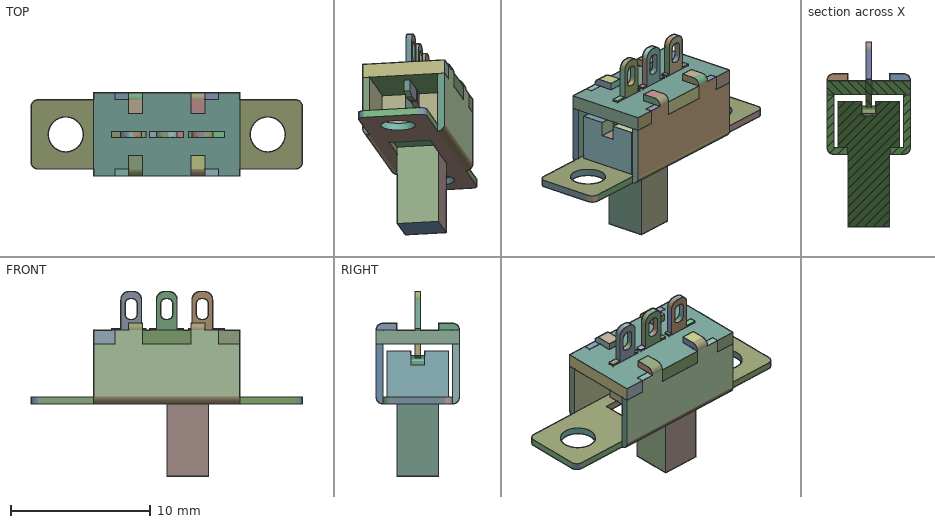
import cadquery as cq
import math

SHEET = 0.5
EAR_SPAN = 19.5
EAR_WIDTH = 5.0
EAR_CORNER_RADIUS = 0.5
MOUNT_HOLE_DIAMETER = 2.5
MOUNT_HOLE_PITCH = 14.5
BODY_LENGTH = 10.5
BODY_WIDTH = 6.0
INNER_WIDTH = BODY_WIDTH - 2 * SHEET

TAB_WIDTH = 1.99
TAB_INNER_EDGE = 1.74
HOOK_WIDTH = TAB_WIDTH / 2
HOOK_REACH = 1.5

COVER_TOP = 5.3
COVER_THICKNESS = 1.0
COVER_BOTTOM = COVER_TOP - COVER_THICKNESS

KNOB_SIDE = 3.0
KNOB_BOTTOM = -5.2
TRAVEL = KNOB_SIDE
SLIDER_X = TRAVEL / 2
SLIDER_LENGTH = 7.0
SLIDER_WIDTH = 4.43
SLIDER_TOP = 3.82
GROOVE_WIDTH = 1.0
GROOVE_DEPTH = 1.03
GROOVE_FLOOR = SLIDER_TOP - GROOVE_DEPTH

LUG_THICKNESS = 0.43
LUG_PITCH = 2.55
LUG_WIDTH = 1.5
LUG_TOP = 8.1
LUG_CORNER_RADIUS = 0.6
EYE_WIDTH = 0.84
EYE_HEIGHT = 1.48
EYE_CORNER_RADIUS = 0.35
EYE_TO_TOP = 0.53
SHOULDER_RISE = 0.12
SHOULDER_TOP = COVER_TOP + SHOULDER_RISE
BLADE_CORNER_Z = 3.5
BLADE_TIP_Z = 3.3
TILT = math.radians(15)
BLADE_SIDES = [(-3.98, -1.5), (-1.23, 1.2), (1.56, 4.13)]

RIB_X = (BLADE_SIDES[1][1] + BLADE_SIDES[2][0]) / 2
RIB_TOP = BLADE_CORNER_Z
RIB_TOP_WIDTH = 0.31
RIB_FOOT_Z = 3.1
RIB_FOOT_RADIUS = 0.15
FOOT_SEARCH = 0.02


def block(x_range, y_range, z_range):
    """Box given by its limits along each axis."""
    (x0, x1), (y0, y1), (z0, z1) = x_range, y_range, z_range
    return cq.Workplane("XY").box(x1 - x0, y1 - y0, z1 - z0, centered=False).translate((x0, y0, z0))


def centered(size):
    return (-size / 2, size / 2)


def make_tab(side):
    """Tab at the -Y wall; side is -1 or +1 for the -X or +X one."""
    near = side * TAB_INNER_EDGE
    wall_y = -BODY_WIDTH / 2
    tab_x = sorted((near, near + side * TAB_WIDTH))
    hook_x = sorted((near, near + side * HOOK_WIDTH))
    upright = block(tab_x, (wall_y, wall_y + SHEET), (COVER_BOTTOM, COVER_TOP))
    hook = (
        cq.Workplane("YZ")
        .moveTo(wall_y, COVER_TOP)
        .lineTo(wall_y + HOOK_REACH, COVER_TOP)
        .lineTo(wall_y + HOOK_REACH, COVER_TOP + SHEET)
        .lineTo(wall_y + SHEET, COVER_TOP + SHEET)
        .radiusArc((wall_y, COVER_TOP), -SHEET)
        .close()
        .extrude(HOOK_WIDTH)
        .translate((hook_x[0], 0, 0))
    )
    return upright.union(hook)


def make_tabs():
    tabs = make_tab(-1).union(make_tab(1))
    return tabs.union(tabs.mirror("XZ"))


def make_housing():
    floor = (
        cq.Workplane("XY")
        .rect(EAR_SPAN, EAR_WIDTH)
        .extrude(SHEET)
        .edges("|Z")
        .fillet(EAR_CORNER_RADIUS)
        .faces(">Z")
        .workplane()
        .pushPoints([(x, 0) for x in centered(MOUNT_HOLE_PITCH)])
        .hole(MOUNT_HOLE_DIAMETER)
    )
    channel = (
        cq.Workplane("XY")
        .box(BODY_LENGTH, BODY_WIDTH, COVER_BOTTOM, centered=(True, True, False))
        .edges("|X and <Z")
        .fillet(SHEET)
        .cut(block(centered(BODY_LENGTH), centered(INNER_WIDTH), (SHEET, COVER_BOTTOM)))
    )
    knob_slot = block(centered(KNOB_SIDE + TRAVEL), centered(KNOB_SIDE), (0, SHEET))
    return floor.union(channel).cut(knob_slot).union(make_tabs())


def make_slider():
    x_range = (SLIDER_X - SLIDER_LENGTH / 2, SLIDER_X + SLIDER_LENGTH / 2)
    knob_x = (SLIDER_X - KNOB_SIDE / 2, SLIDER_X + KNOB_SIDE / 2)
    body = block(x_range, centered(SLIDER_WIDTH), (SHEET, SLIDER_TOP))
    knob = block(knob_x, centered(KNOB_SIDE), (KNOB_BOTTOM, SHEET))
    groove = block(x_range, centered(GROOVE_WIDTH), (GROOVE_FLOOR, SLIDER_TOP))
    return body.union(knob).cut(groove)


def make_terminal(lug_x, blade_left, blade_right):
    tip_run = (BLADE_CORNER_Z - BLADE_TIP_Z) / math.tan(TILT)
    blade = (
        cq.Workplane("XZ")
        .polyline([
            (blade_left, SHOULDER_TOP),
            (blade_left, BLADE_CORNER_Z),
            (blade_left + tip_run, BLADE_TIP_Z),
            (blade_right - tip_run, BLADE_TIP_Z),
            (blade_right, BLADE_CORNER_Z),
            (blade_right, SHOULDER_TOP),
        ])
        .close()
        .extrude(LUG_THICKNESS / 2, both=True)
    )
    lug = (
        block(centered(LUG_WIDTH), centered(LUG_THICKNESS), (COVER_BOTTOM, LUG_TOP))
        .edges("|Y and >Z")
        .fillet(LUG_CORNER_RADIUS)
    )
    eye_top = LUG_TOP - EYE_TO_TOP
    eye = (
        block(centered(EYE_WIDTH), centered(LUG_THICKNESS), (eye_top - EYE_HEIGHT, eye_top))
        .edges("|Y")
        .fillet(EYE_CORNER_RADIUS)
    )
    return blade.union(lug.cut(eye).translate((lug_x, 0, 0)))


def make_cover(housing, terminals):
    """Plate notched around the housing's tabs and slotted for the terminals."""
    cover = block(centered(BODY_LENGTH), centered(BODY_WIDTH), (COVER_BOTTOM, COVER_TOP)).cut(housing)
    for terminal in terminals:
        cover = cover.cut(terminal)
    return cover


def make_contact():
    """Two ramps that rise from the groove floor to a rib with undercut sides."""
    foot_half = RIB_TOP_WIDTH / 2 - (RIB_TOP - RIB_FOOT_Z) * math.tan(TILT)
    ramp_half = foot_half + (RIB_FOOT_Z - GROOVE_FLOOR) / math.tan(TILT)
    right_half = [
        (RIB_TOP_WIDTH / 2, RIB_TOP),
        (foot_half, RIB_FOOT_Z),
        (ramp_half, GROOVE_FLOOR),
    ]
    left_half = [(-x, z) for x, z in reversed(right_half)]
    foot_edges = cq.selectors.BoxSelector(
        (-2 * foot_half, -GROOVE_WIDTH, RIB_FOOT_Z - FOOT_SEARCH),
        (2 * foot_half, GROOVE_WIDTH, RIB_FOOT_Z + FOOT_SEARCH),
    )
    return (
        cq.Workplane("XZ")
        .polyline(right_half + left_half)
        .close()
        .extrude(GROOVE_WIDTH / 2, both=True)
        .edges(foot_edges)
        .fillet(RIB_FOOT_RADIUS)
        .translate((RIB_X, 0, 0))
    )


housing = make_housing()
slider = make_slider()
terminals = [
    make_terminal(lug_x, left, right)
    for lug_x, (left, right) in zip((-LUG_PITCH, 0, LUG_PITCH), BLADE_SIDES)
]
cover = make_cover(housing, terminals)
contact = make_contact()

result = cq.Compound.makeCompound(
    [housing.val(), cover.val(), slider.val(), contact.val(), *[t.val() for t in terminals]]
)